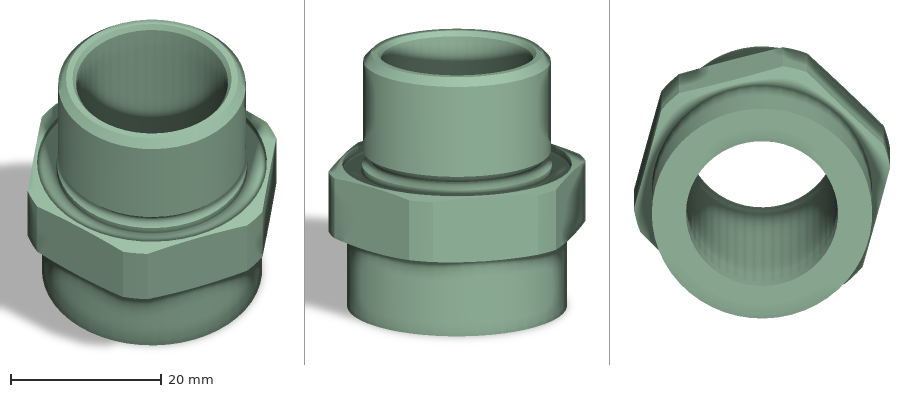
import cadquery as cq

total_height = 35.0
bore_radius = 10.1
bore_chamfer_width = 0.45
bore_chamfer_height = 0.65

sleeve_radius = 14.65
hex_across_flats = 31.5
hex_corner_diameter = 34.6
hex_bottom = 10.32
hex_top = 19.65
lower_bevel_height = 0.65
upper_bevel_height = 0.35
upper_face_radius = 15.47

spigot_radius = 12.5
spigot_bottom = 21.5
spigot_chamfer = 1.05
neck_radius = 11.48
neck_bottom = 20.25
neck_top = spigot_bottom - (spigot_radius - neck_radius)

recess_inner_radius = 12.67
recess_outer_radius = 15.3
recess_depth = 1.05
recess_fillet = 0.2


def revolve_profile(points):
    """Revolve a closed outline of (radius, height) points about the Z axis."""
    return cq.Workplane("XZ").polyline(points).close().revolve(360, (0, 0, 0), (0, 1, 0))


def make_hex_collar():
    """Hexagon with flats facing +X and -X, rounded corners and conical bevels."""
    hexagon = (
        cq.Workplane("XY", origin=(0, 0, hex_bottom))
        .polygon(6, hex_across_flats, circumscribed=True)
        .extrude(hex_top - hex_bottom)
    )
    corner_radius = hex_corner_diameter / 2
    envelope = revolve_profile([
        (0, hex_bottom),
        (sleeve_radius, hex_bottom),
        (corner_radius, hex_bottom + lower_bevel_height),
        (corner_radius, hex_top - upper_bevel_height),
        (upper_face_radius, hex_top),
        (0, hex_top),
    ])
    return hexagon.intersect(envelope)


def make_recess():
    """Ring-shaped cutter with rounded lower edges."""
    ring = (
        cq.Workplane("XY", origin=(0, 0, hex_top - recess_depth))
        .circle(recess_outer_radius)
        .circle(recess_inner_radius)
        .extrude(recess_depth)
    )
    return ring.faces("<Z").edges().fillet(recess_fillet)


def make_spigot():
    """Chamfered spigot above a relief groove that flares out to the recess wall."""
    return revolve_profile([
        (0, hex_top),
        (recess_inner_radius, hex_top),
        (neck_radius, neck_bottom),
        (neck_radius, neck_top),
        (spigot_radius, spigot_bottom),
        (spigot_radius, total_height - spigot_chamfer),
        (spigot_radius - spigot_chamfer, total_height),
        (0, total_height),
    ])


def make_bore():
    """Through bore with a steep chamfer at the upper mouth."""
    return revolve_profile([
        (0, 0),
        (bore_radius, 0),
        (bore_radius, total_height - bore_chamfer_height),
        (bore_radius + bore_chamfer_width, total_height),
        (0, total_height),
    ])


sleeve = cq.Workplane("XY").circle(sleeve_radius).extrude(hex_bottom)
collar = make_hex_collar().cut(make_recess())
result = sleeve.union(collar).union(make_spigot()).cut(make_bore())